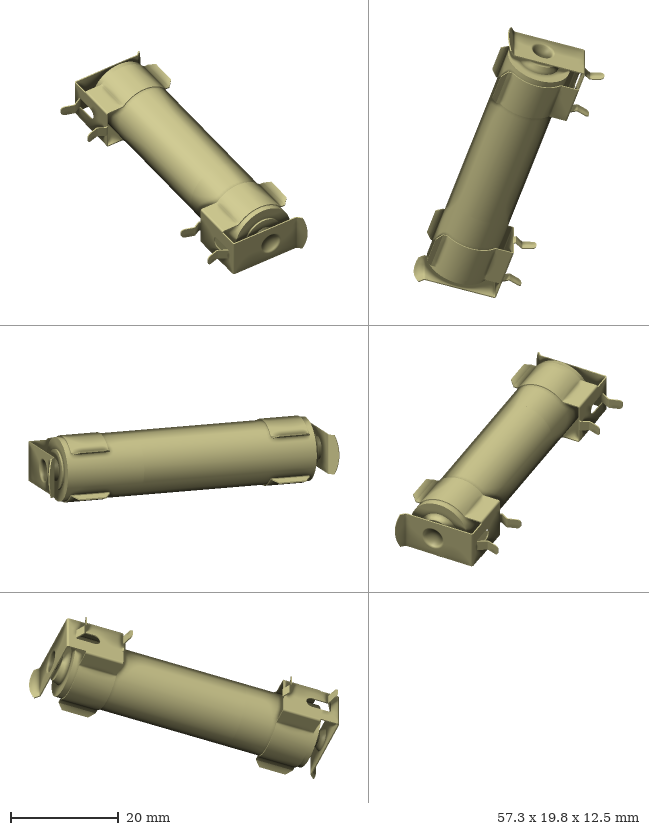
import cadquery as cq
import math


battery_radius = 6.0
battery_left_end = -24.55
battery_right_end = 24.4
sleeve_wall = 0.65
sleeve_right_end = 9.4
cap_base_radius = 3.85
cap_end_radius = 3.3
cap_end = -25.95
washer_end = 24.7
nub_base_radius = 2.1
nub_end_radius = 1.6
nub_end = -cap_end

sheet = 0.25
bend_radius = 0.4
wall_half_width = 3.7
wall_outer_x = -27.15
plate_outer_y = -8.25
lip_bend_y = 5.6
lip_rise = 1.5
lip_tip_sagitta = 1.0

band_left = -23.35
band_right = -15.95
band_outer_radius = battery_radius + sheet
arm_outer_z = wall_half_width + bend_radius
mouth_start_y = 5.55
mouth_end_y = 6.65
mouth_flare = math.radians(25)
neck_radius = 0.45

dimple_radius = 2.4
dimple_depth = 1.4
dimple_rim_radius = 0.4

tab_half_width = 1.0
tab_tip_radius = 0.75
tab_kink_radius = 0.45
tab_kink_y = -10.0
tab_end_y = -12.55
tab_upper_lean = math.radians(30)
tab_lower_lean = math.radians(17)
end_tab_overhang = 0.35
end_tab_bend_drop = 0.3
slot_left = -25.25
slot_right = -20.55
slot_half_width = 1.15


def strip_outline(path):
    """Closed outline of a sheet strip: the path and its mitred copy one sheet thickness to the left."""
    directions = []
    for (x0, y0), (x1, y1) in zip(path, path[1:]):
        directions.append(math.atan2(y1 - y0, x1 - x0))
    offset_path = []
    for i, (x, y) in enumerate(path):
        before = directions[max(i - 1, 0)]
        after = directions[min(i, len(directions) - 1)]
        mitre = (before + after) / 2 + math.pi / 2
        reach = sheet / math.cos((after - before) / 2)
        offset_path.append((x + reach * math.cos(mitre), y + reach * math.sin(mitre)))
    return path + offset_path[::-1]


def bent_strip(path, half_width):
    """Sheet strip that follows a path in XY and is centred on Z = 0."""
    return cq.Workplane("XY").polyline(strip_outline(path)).close().extrude(half_width, both=True)


def turned(profile):
    """Solid of revolution about the X axis from (x, radius) points."""
    return cq.Workplane("XY").polyline(profile).close().revolve(360, (0, 0, 0), (1, 0, 0))


def lip_tip_cutter(tip_x, tip_y):
    """Sheet beyond the curved tip of the end lip, cut square to the lip."""
    lip_plane = cq.Plane(origin=(tip_x, tip_y, 0), xDir=(-1, 1, 0), normal=(1, 1, 0))
    return (
        cq.Workplane(lip_plane)
        .moveTo(-lip_tip_sagitta, -wall_half_width)
        .threePointArc((0, 0), (-lip_tip_sagitta, wall_half_width))
        .lineTo(lip_tip_sagitta, wall_half_width)
        .lineTo(lip_tip_sagitta, -wall_half_width)
        .close()
        .extrude(2 * sheet, both=True)
    )


def bend_edge(x, y):
    """Selector for the fold edge along Z at a corner of the strip."""
    return cq.selectors.NearestToPointSelector((x, y, 0))


def make_wall_and_plate():
    """Base plate, end wall and leaning end lip, folded from one strip with a rounded lip tip."""
    tip_x = wall_outer_x - lip_rise
    tip_y = lip_bend_y + lip_rise
    path = [
        (tip_x, tip_y),
        (wall_outer_x, lip_bend_y),
        (wall_outer_x, plate_outer_y),
        (band_right, plate_outer_y),
    ]
    strip = bent_strip(path, wall_half_width)
    wall_inner_x = wall_outer_x + sheet
    plate_inner_y = plate_outer_y + sheet
    strip = strip.edges("|Z").edges(bend_edge(wall_outer_x, plate_outer_y)).fillet(bend_radius)
    strip = strip.edges("|Z").edges(bend_edge(wall_inner_x, plate_inner_y)).fillet(bend_radius - sheet)
    strip = strip.edges("|Z").edges(bend_edge(wall_outer_x, lip_bend_y)).fillet(bend_radius)
    strip = strip.edges("|Z").edges(bend_edge(wall_inner_x, lip_bend_y)).fillet(bend_radius + sheet)
    return strip.cut(lip_tip_cutter(tip_x, tip_y))


def band_slab(y_start, y_end, half_height):
    """Box over the band length, centred on Z = 0."""
    return (
        cq.Workplane("XY", origin=(0, 0, -half_height))
        .moveTo(band_left, y_start)
        .lineTo(band_right, y_start)
        .lineTo(band_right, y_end)
        .lineTo(band_left, y_end)
        .close()
        .extrude(2 * half_height)
    )


def band_solid(radius, half_height, corner_radius, y_start):
    """Round bar joined to a slab on both sides: the outer or the inner form of the band."""
    length = band_right - band_left
    bar = cq.Workplane("YZ", origin=(band_left, 0, 0)).circle(radius).extrude(length)
    slab = band_slab(y_start, mouth_start_y, half_height)
    slab = slab.edges("|X and <Y").fillet(corner_radius)
    mouth_cut = band_slab(mouth_start_y, radius + half_height, radius)
    floor_cut = band_slab(y_start - radius, y_start, radius)
    return bar.union(slab).cut(mouth_cut).cut(floor_cut)


def round_necks(body, bar_radius, half_height, radius):
    """Blend the four corners along X where the round and straight parts of the band meet."""
    neck_y = math.sqrt(bar_radius**2 - half_height**2)
    middle_x = (band_left + band_right) / 2
    for y in (-neck_y, neck_y):
        for z in (-half_height, half_height):
            corner = cq.selectors.NearestToPointSelector((middle_x, y, z))
            body = body.edges("|X").edges(corner).fillet(radius)
    return body


def make_band():
    """Spring band: two straight arms, the round grip, and a straight stretch at the mouth."""
    outer = band_solid(band_outer_radius, arm_outer_z, bend_radius, plate_outer_y)
    outer = round_necks(outer, band_outer_radius, arm_outer_z, neck_radius)
    inner_half_height = arm_outer_z - sheet
    inner = band_solid(battery_radius, inner_half_height, bend_radius - sheet, plate_outer_y + sheet)
    inner = round_necks(inner, battery_radius, inner_half_height, neck_radius + sheet)
    return outer.cut(inner)


def make_mouth_lip():
    """Flared upper mouth lip, narrowed toward its tip by 45 degree sides."""
    rise = (mouth_end_y - mouth_start_y) * math.tan(mouth_flare)
    path = [
        (mouth_end_y, arm_outer_z + rise),
        (mouth_start_y, arm_outer_z),
        (mouth_start_y - sheet, arm_outer_z),
    ]
    outline = strip_outline(path)
    lip = cq.Workplane("YZ", origin=(band_left, 0, 0)).polyline(outline).close()
    lip = lip.extrude(band_right - band_left)
    inset = mouth_end_y - mouth_start_y
    trim = (
        cq.Workplane("XY")
        .moveTo(band_left, mouth_start_y - sheet)
        .lineTo(band_right, mouth_start_y - sheet)
        .lineTo(band_right, mouth_start_y)
        .lineTo(band_right - inset, mouth_end_y)
        .lineTo(band_left + inset, mouth_end_y)
        .lineTo(band_left, mouth_start_y)
        .close()
        .extrude(2 * arm_outer_z)
    )
    return lip.intersect(trim)


def make_tab(top_path, side):
    """Solder tab of rounded tip that leans to one side down to its kink and then leans back."""
    top_x, top_y = top_path[-1]
    kink_x = top_x + side * (top_y - tab_kink_y) * math.tan(tab_upper_lean)
    strip_end_y = tab_end_y - sheet
    strip_end_x = kink_x - side * (tab_kink_y - strip_end_y) * math.tan(tab_lower_lean)
    path = top_path + [(kink_x, tab_kink_y), (strip_end_x, strip_end_y)]
    tab = bent_strip(path[::side], tab_half_width)

    rounded_end = (
        cq.Workplane("XZ", origin=(top_x, 0, 0))
        .rect(2 * (band_right - band_left), 2 * tab_half_width)
        .extrude(-tab_end_y)
        .edges("|X and <Y")
        .fillet(tab_tip_radius)
    )
    tab = tab.intersect(rounded_end)
    tab = tab.edges("|Z").edges(bend_edge(kink_x + side * sheet, tab_kink_y)).fillet(tab_kink_radius)
    return tab.edges("|Z").edges(bend_edge(kink_x, tab_kink_y)).fillet(tab_kink_radius - sheet)


def make_slot_tab():
    """Tab bent down out of the plate at the square end of the slot."""
    root_y = plate_outer_y + sheet - sheet * math.sin(tab_upper_lean)
    return make_tab([(slot_left - sheet, root_y)], 1)


def make_end_tab():
    """Tab that leaves the free end of the plate, turns down and leans back under it."""
    top_y = plate_outer_y + sheet
    shoulder = [
        (band_right - sheet, top_y),
        (band_right, top_y),
        (band_right + end_tab_overhang, plate_outer_y - end_tab_bend_drop),
    ]
    return make_tab(shoulder, -1)


def slot_cutter():
    """Slot through the plate: square at the tab, full round at the other end."""
    round_start = slot_right - slot_half_width
    return (
        cq.Workplane("XZ", origin=(0, plate_outer_y, 0))
        .moveTo(slot_left, -slot_half_width)
        .lineTo(round_start, -slot_half_width)
        .threePointArc((slot_right, 0), (round_start, slot_half_width))
        .lineTo(slot_left, slot_half_width)
        .close()
        .extrude(sheet, both=True)
    )


def dimple_ball(radius):
    """Ball about the dimple centre on the battery axis of the left clip."""
    centre_x = wall_outer_x + sheet + dimple_depth - dimple_radius
    return cq.Workplane("XY").sphere(radius, direct=(1, 0, 0)).translate((centre_x, 0, 0))


def dimple_dome():
    """Part of the outer dimple ball that stands inside the end wall."""
    keep = cq.Workplane("YZ", origin=(wall_outer_x, 0, 0)).circle(dimple_radius).extrude(2 * dimple_radius)
    return dimple_ball(dimple_radius).intersect(keep)


def make_left_clip():
    """Sheet clip for the left end: folded strip, spring band, mouth lips, tabs and contact dimple."""
    mouth_lip = make_mouth_lip()
    clip = make_wall_and_plate().union(make_band())
    clip = clip.union(mouth_lip).union(mouth_lip.mirror("XY"))
    clip = clip.cut(slot_cutter()).union(make_slot_tab()).union(make_end_tab())
    clip = clip.union(dimple_dome()).cut(dimple_ball(dimple_radius - sheet))
    rim = cq.selectors.NearestToPointSelector((wall_outer_x, 0, 0))
    return clip.edges("%CIRCLE").edges(rim).fillet(dimple_rim_radius)


def make_sleeve():
    """Tube round the left part of the battery, flush with the core on the outside."""
    length = sleeve_right_end - battery_left_end
    tube = cq.Workplane("YZ", origin=(battery_left_end, 0, 0)).circle(battery_radius)
    return tube.circle(battery_radius - sleeve_wall).extrude(length)


def make_core():
    """Battery body with its end cap, washer and nub, hollowed where the contact dimples sit."""
    neck = battery_radius - sleeve_wall
    core = turned([
        (cap_end, 0),
        (cap_end, cap_end_radius),
        (battery_left_end, cap_base_radius),
        (battery_left_end, neck),
        (sleeve_right_end, neck),
        (sleeve_right_end, battery_radius),
        (battery_right_end, battery_radius),
        (battery_right_end, cap_base_radius),
        (washer_end, cap_base_radius),
        (washer_end, nub_base_radius),
        (nub_end, nub_end_radius),
        (nub_end, 0),
    ])
    dome = dimple_dome()
    return core.cut(dome).cut(dome.mirror("YZ"))


left_clip = make_left_clip()
right_clip = left_clip.mirror("YZ")
sleeve = make_sleeve()
core = make_core()

result = cq.Compound.makeCompound([left_clip.val(), right_clip.val(), sleeve.val(), core.val()])